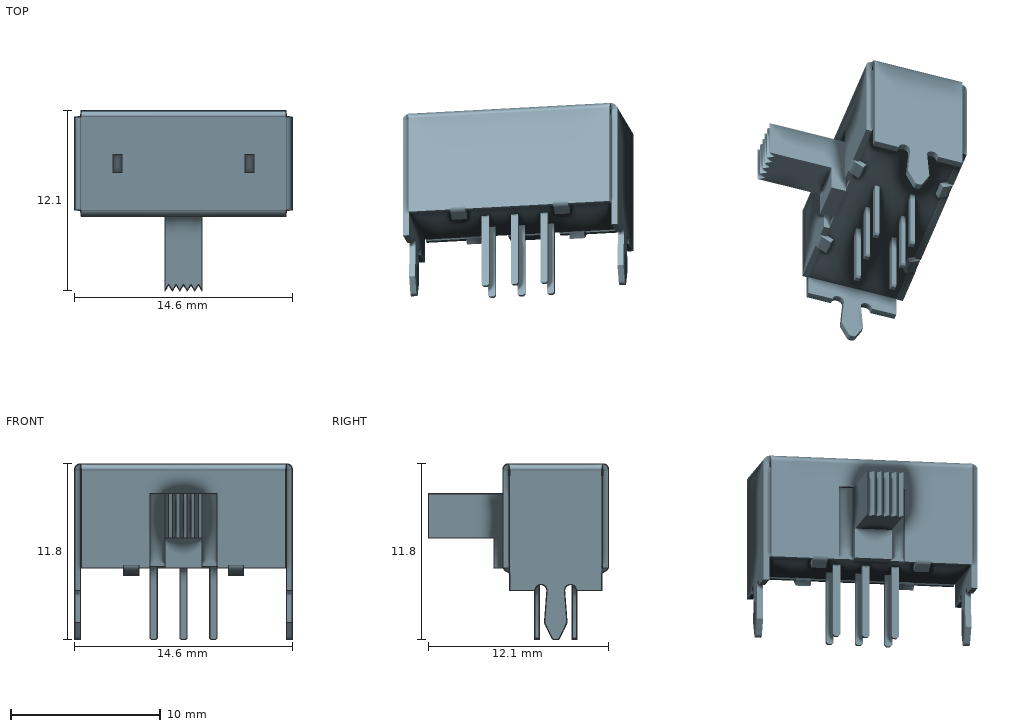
import cadquery as cq
import math


LENGTH = 14.61
DEPTH = 7.1
HEIGHT = 11.8
SHEET = 0.41
CORNER_GAP = 0.05

INNER_LENGTH = LENGTH - 2 * SHEET
INNER_DEPTH = DEPTH - 2 * SHEET

LONG_WALL_HEIGHT = 7.0
END_WALL_HEIGHT = 8.5
LONG_WALL_BOTTOM = HEIGHT - LONG_WALL_HEIGHT
END_WALL_BOTTOM = HEIGHT - END_WALL_HEIGHT

WINDOW_WIDTH = 4.5
WINDOW_TOP = HEIGHT - 2.0

SLOT_X = 4.43
SLOT_LENGTH = 0.61
SLOT_WIDTH = 1.21

TAB_X = 3.5
TAB_WIDTH = 1.01
TAB_BEND_TOP = LONG_WALL_BOTTOM + 0.16
TAB_BEND_ANGLE = math.radians(60)
TAB_STRAIGHT = 0.61

NOTCH_OFFSET = 1.0
NOTCH_RADIUS = 0.4
LEG_NECK_HALF = NOTCH_OFFSET - NOTCH_RADIUS
LEG_BARB_HALF = 0.76
LEG_BARB_Z = 1.14
LEG_TIP_HALF = 0.2
LEG_TIP_RADIUS = 0.25

CORE_TOP = HEIGHT - 0.8
CORE_BOTTOM = LONG_WALL_BOTTOM + 0.1

LEVER_WIDTH = 2.5
LEVER_LENGTH = 5.0
LEVER_HEIGHT = 3.0
FOOT_LENGTH = 0.6
TOOTH_COUNT = 5
TOOTH_DEPTH = 0.42

PIN_PITCH = 2.0
PIN_ROW_Y = 1.25
PIN_WIDTH = 0.5
PIN_THICKNESS = 0.3
PIN_CHAMFER = 0.12


def block(x_size, y_range, z_range):
    """Box centred on X = 0 between the given Y and Z limits."""
    y_size = y_range[1] - y_range[0]
    z_size = z_range[1] - z_range[0]
    box = cq.Workplane("XY").box(x_size, y_size, z_size, centered=(True, False, False))
    return box.translate((0, y_range[0], z_range[0]))


def centred_block(x_size, y_size, z_range):
    """Box centred on X = 0 and Y = 0."""
    return block(x_size, (-y_size / 2, y_size / 2), z_range)


def end_profile(plane, inner_size, bottom):
    """Wall outline on the plane: narrowed by the corner gaps, widening over the bend."""
    roof_half = inner_size / 2
    wall_half = roof_half - CORNER_GAP
    outline = [
        (-wall_half, bottom),
        (wall_half, bottom),
        (wall_half, HEIGHT - SHEET),
        (roof_half, HEIGHT),
        (-roof_half, HEIGHT),
        (-wall_half, HEIGHT - SHEET),
    ]
    return cq.Workplane(plane).polyline(outline).close()


def make_long_walls():
    """Front and back walls with the roof between them."""
    outer = centred_block(INNER_LENGTH, DEPTH, (LONG_WALL_BOTTOM, HEIGHT))
    outer = outer.edges("|X and >Z").fillet(SHEET)
    outer = outer.intersect(end_profile("XZ", INNER_LENGTH, LONG_WALL_BOTTOM).extrude(DEPTH, both=True))
    return outer.cut(centred_block(LENGTH, INNER_DEPTH, (0, HEIGHT - SHEET)))


def make_end_walls():
    """Left and right walls with the roof between them."""
    outer = centred_block(LENGTH, INNER_DEPTH, (END_WALL_BOTTOM, HEIGHT))
    outer = outer.edges("|Y and >Z").fillet(SHEET)
    outer = outer.intersect(end_profile("YZ", INNER_DEPTH, END_WALL_BOTTOM).extrude(LENGTH, both=True))
    return outer.cut(centred_block(INNER_LENGTH, DEPTH, (0, HEIGHT - SHEET)))


def make_leg():
    """Barbed leg at the -X end wall, centred on Y = 0."""
    outline = [
        (-LEG_NECK_HALF, END_WALL_BOTTOM + NOTCH_RADIUS),
        (-LEG_NECK_HALF, END_WALL_BOTTOM),
        (-LEG_BARB_HALF, LEG_BARB_Z),
        (-LEG_TIP_HALF, 0),
        (LEG_TIP_HALF, 0),
        (LEG_BARB_HALF, LEG_BARB_Z),
        (LEG_NECK_HALF, END_WALL_BOTTOM),
        (LEG_NECK_HALF, END_WALL_BOTTOM + NOTCH_RADIUS),
    ]
    leg = cq.Workplane("YZ").polyline(outline).close().extrude(SHEET)
    leg = leg.edges("|X and <Z").fillet(LEG_TIP_RADIUS)
    return leg.translate((-LENGTH / 2, 0, 0))


def make_tab():
    """Retaining tab bent inward from the bottom of the front wall, centred on X = 0."""
    front = -DEPTH / 2
    pivot_y = front + SHEET
    sin_bend = math.sin(TAB_BEND_ANGLE)
    cos_bend = math.cos(TAB_BEND_ANGLE)

    def on_bend(angle):
        return (pivot_y - SHEET * math.cos(angle), TAB_BEND_TOP - SHEET * math.sin(angle))

    def along_tab(point):
        return (point[0] + TAB_STRAIGHT * sin_bend, point[1] - TAB_STRAIGHT * cos_bend)

    pivot = (pivot_y, TAB_BEND_TOP)
    bend_end = on_bend(TAB_BEND_ANGLE)
    return (
        cq.Workplane("YZ")
        .moveTo(front, TAB_BEND_TOP)
        .threePointArc(on_bend(TAB_BEND_ANGLE / 2), bend_end)
        .lineTo(*along_tab(bend_end))
        .lineTo(*along_tab(pivot))
        .lineTo(*pivot)
        .close()
        .extrude(TAB_WIDTH / 2, both=True)
    )


def make_cover():
    """Folded metal cover with window, slots, tabs and legs."""
    roof = centred_block(INNER_LENGTH, INNER_DEPTH, (HEIGHT - SHEET, HEIGHT))
    cover = make_long_walls().union(make_end_walls()).union(roof)

    cover = cover.cut(block(WINDOW_WIDTH, (-DEPTH / 2, -INNER_DEPTH / 2), (0, WINDOW_TOP)))

    slot = centred_block(SLOT_LENGTH, SLOT_WIDTH, (HEIGHT - SHEET, HEIGHT))
    for x in (-SLOT_X, SLOT_X):
        cover = cover.cut(slot.translate((x, 0, 0)))

    tab = make_tab()
    strip = centred_block(TAB_WIDTH, DEPTH, (LONG_WALL_BOTTOM, TAB_BEND_TOP))
    for x in (-TAB_X, TAB_X):
        cover = cover.cut(strip.translate((x, 0, 0)))
        cover = cover.union(tab.translate((x, 0, 0)))
        cover = cover.union(tab.mirror("XZ").translate((x, 0, 0)))

    notches = (
        cq.Workplane("YZ")
        .pushPoints([(-NOTCH_OFFSET, END_WALL_BOTTOM), (NOTCH_OFFSET, END_WALL_BOTTOM)])
        .circle(NOTCH_RADIUS)
        .extrude(LENGTH / 2, both=True)
    )
    leg = make_leg()
    return cover.cut(notches).union(leg).union(leg.mirror("YZ"))


def make_lever():
    """Lever with a toothed end face and a foot beneath it."""
    root_y = -INNER_DEPTH / 2
    tip_y = -DEPTH / 2 - LEVER_LENGTH
    lever_bottom = WINDOW_TOP - LEVER_HEIGHT
    pitch = LEVER_WIDTH / TOOTH_COUNT

    outline = [(-LEVER_WIDTH / 2, tip_y)]
    for i in range(TOOTH_COUNT):
        left = -LEVER_WIDTH / 2 + i * pitch
        outline.append((left + pitch / 2, tip_y + TOOTH_DEPTH))
        outline.append((left + pitch, tip_y))
    outline += [(LEVER_WIDTH / 2, root_y), (-LEVER_WIDTH / 2, root_y)]
    lever = (
        cq.Workplane("XY", origin=(0, 0, lever_bottom))
        .polyline(outline)
        .close()
        .extrude(LEVER_HEIGHT)
    )
    foot = block(LEVER_WIDTH, (-DEPTH / 2 - FOOT_LENGTH, root_y), (LONG_WALL_BOTTOM, lever_bottom))
    return lever.union(foot)


def make_pin():
    """Flat terminal pin, centred on X = 0 and Y = 0."""
    pin = centred_block(PIN_WIDTH, PIN_THICKNESS, (0, CORE_BOTTOM))
    return pin.edges("|Y and <Z").chamfer(PIN_CHAMFER)


def make_core(cover):
    """Core block with the lever and two rows of pins, relieved where the tabs bite in."""
    core = centred_block(INNER_LENGTH, INNER_DEPTH, (CORE_BOTTOM, CORE_TOP))
    core = core.union(make_lever())
    pin = make_pin()
    for x in (-PIN_PITCH, 0, PIN_PITCH):
        for y in (-PIN_ROW_Y, PIN_ROW_Y):
            core = core.union(pin.translate((x, y, 0)))
    return core.cut(cover)


cover = make_cover()
core = make_core(cover)

result = cq.Compound.makeCompound([cover.solids().val(), core.solids().val()])